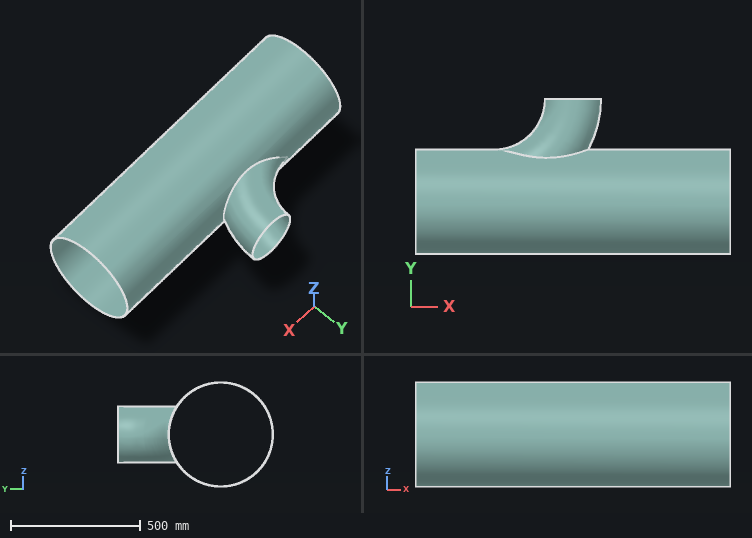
import cadquery as cq

RUN_LENGTH = 1220.0
RUN_OUTER_DIAMETER = 406.4
RUN_INNER_DIAMETER = 400.4
WALL = (RUN_OUTER_DIAMETER - RUN_INNER_DIAMETER) / 2

BRANCH_OUTER_DIAMETER = 219.1
BRANCH_INNER_DIAMETER = BRANCH_OUTER_DIAMETER - 2 * WALL
BEND_RADIUS = 305.0
BEND_ANGLE = 90.0

OUTLET_X = 0.0
OUTLET_Y = RUN_OUTER_DIAMETER / 2 + BEND_RADIUS - BRANCH_OUTER_DIAMETER / 2


def run_cylinder(diameter):
    """Solid cylinder over the full length of the run pipe."""
    return cq.Workplane("YZ", origin=(-RUN_LENGTH / 2, 0, 0)).circle(diameter / 2).extrude(RUN_LENGTH)


def elbow(diameter):
    """Solid bend from the outlet, facing +Y, round to the -X direction inside the run pipe."""
    return (
        cq.Workplane("XZ", origin=(OUTLET_X, OUTLET_Y, 0))
        .circle(diameter / 2)
        .revolve(BEND_ANGLE, (-BEND_RADIUS, 0, 0), (-BEND_RADIUS, -1, 0))
    )


outer_body = run_cylinder(RUN_OUTER_DIAMETER).union(elbow(BRANCH_OUTER_DIAMETER))
run_bore = run_cylinder(RUN_INNER_DIAMETER)
branch_bore = elbow(BRANCH_INNER_DIAMETER)

result = outer_body.cut(run_bore).cut(branch_bore)